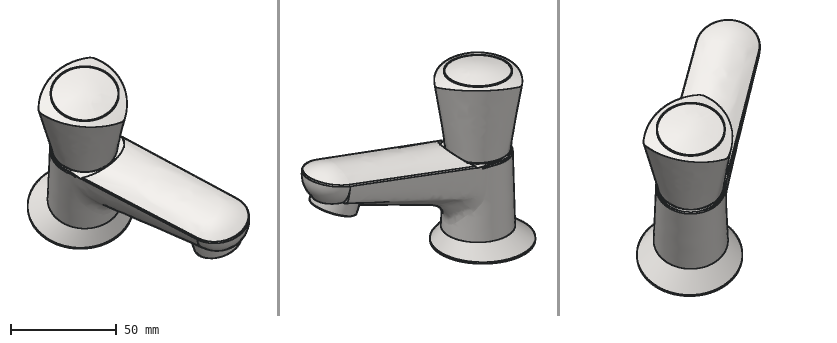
import cadquery as cq
import math


flange_radius = 25.0
flange_setback = 2.6
flange_rim = 1.0
flange_height = 8.3

body_bottom_radius = 17.7
body_top_radius = 16.6
body_top = 48.6
body_edge_round = 0.6

neck_radius = 14.5
handle_bottom = 49.8
handle_top = 93.1
handle_dome_radius = 62.6
grip_bottom_side = 15.6
grip_bottom_corner = 15.7
grip_bottom_corner_radius = 12.3
grip_top_side = 19.4
grip_top_corner = 24.3
grip_top_corner_radius = 3.7
button_radius = 16.26
groove_width = 0.4
groove_depth = 0.4

spout_slope = 7.2
spout_rim_start = 48.3
spout_length = 80.2
spout_root_half_width = 15.8
spout_end_half_width = 15.3
spout_root_depth = 28.2
spout_end_depth = 16.8
spout_root_fullness = 1.05
spout_end_fullness = 0.97
spout_crown = 4.2
rim_inset = 0.4
rim_height = 0.9
handle_clearance_radius = 18.8
spout_blend = 12.9

nozzle_radius = 11.8
nozzle_face_radius = 11.23
nozzle_tilt = 20
nozzle_x = 80.4
nozzle_bottom = 39.8
nozzle_length = 9.8


def make_flange():
    rim = cq.Workplane("XY").center(-flange_setback, 0).circle(flange_radius).extrude(flange_rim)
    skirt = (
        cq.Workplane("XY", origin=(0, 0, flange_rim))
        .center(-flange_setback, 0).circle(flange_radius)
        .workplane(offset=flange_height - flange_rim)
        .center(flange_setback, 0).circle(body_bottom_radius)
        .loft(ruled=True)
    )
    return rim.union(skirt)


def make_body():
    return (
        cq.Workplane("XY", origin=(0, 0, flange_height)).circle(body_bottom_radius)
        .workplane(offset=body_top - flange_height).circle(body_top_radius)
        .loft(ruled=True)
        .faces(">Z").edges().chamfer(body_edge_round)
    )


def polar(radius, degrees):
    angle = math.radians(degrees)
    return cq.Vector(radius * math.cos(angle), radius * math.sin(angle))


def rounded_triangle(height, side, corner, corner_radius):
    """Wire of three bulged sides and three round corners, all tangent.

    side and corner are the distances from the axis to mid-side and to a corner tip.
    """
    corner_center = corner - corner_radius
    side_radius = (
        (side**2 + corner_center**2 - side * corner_center - corner_radius**2)
        / (2 * side - 2 * corner_radius - corner_center)
    )

    def tangent_point(corner_angle, side_angle):
        center = polar(corner_center, corner_angle)
        side_center = polar(side - side_radius, side_angle)
        return center + (center - side_center).normalized() * corner_radius

    first = tangent_point(0, -60)
    outline = cq.Workplane("XY", origin=(0, 0, height)).moveTo(first.x, first.y)
    for angle in (0, 120, 240):
        tip = polar(corner, angle)
        corner_end = tangent_point(angle, angle + 60)
        middle = polar(side, angle + 60)
        side_end = tangent_point(angle + 120, angle + 60)
        outline = outline.threePointArc(tip.toTuple()[:2], corner_end.toTuple()[:2])
        outline = outline.threePointArc(middle.toTuple()[:2], side_end.toTuple()[:2])
    return outline.close().val()


def make_handle():
    neck = (
        cq.Workplane("XY", origin=(0, 0, body_top)).circle(neck_radius)
        .extrude(handle_bottom - body_top)
    )
    bottom = rounded_triangle(handle_bottom, grip_bottom_side, grip_bottom_corner, grip_bottom_corner_radius)
    top = rounded_triangle(handle_top, grip_top_side, grip_top_corner, grip_top_corner_radius)
    grip = cq.Workplane(cq.Solid.makeLoft([bottom, top], True))
    dome = cq.Workplane("XY", origin=(0, 0, handle_top - handle_dome_radius)).sphere(handle_dome_radius)
    groove_floor = (
        handle_top - handle_dome_radius - groove_depth
        + math.sqrt(handle_dome_radius**2 - button_radius**2)
    )
    groove = (
        cq.Workplane("XY", origin=(0, 0, groove_floor))
        .circle(button_radius).circle(button_radius - groove_width)
        .extrude(handle_top - groove_floor)
    )
    return neck.union(grip.intersect(dome).cut(groove))


def belly_point(half_width, depth, fullness):
    """Point of the underside half way round from the rim to the lowest point."""
    share = fullness * math.sqrt(0.5)
    return half_width * share, -rim_height - (depth - rim_height) * share


def spout_section(plane, half_width, depth, fullness):
    """Crowned top, a narrow sloping rim on each side and a rounded underside."""
    belly_x, belly_y = belly_point(half_width, depth, fullness)
    rim = half_width - rim_inset
    return (
        cq.Workplane(plane)
        .moveTo(half_width, -rim_height)
        .lineTo(rim, 0)
        .threePointArc((0, spout_crown), (-rim, 0))
        .lineTo(-half_width, -rim_height)
        .spline(
            [(-belly_x, belly_y), (0, -depth), (belly_x, belly_y), (half_width, -rim_height)],
            tangents=[(0, -1), (0, 1)], includeCurrent=True,
        )
        .close()
    )


def make_spout():
    slope = math.radians(spout_slope)
    along = cq.Vector(math.cos(slope), 0, math.sin(slope))
    root = cq.Vector(0, 0, spout_rim_start)
    root_plane = cq.Plane(root, xDir=(0, 1, 0), normal=along)
    end_plane = cq.Plane(root + along * spout_length, xDir=(0, 1, 0), normal=along)
    root_section = spout_section(root_plane, spout_root_half_width, spout_root_depth,
                                 spout_root_fullness)
    end_section = spout_section(end_plane, spout_end_half_width, spout_end_depth,
                                spout_end_fullness)
    arm = cq.Workplane(cq.Solid.makeLoft([root_section.val(), end_section.val()], True))

    crown_radius = ((spout_end_half_width - rim_inset) ** 2 + spout_crown**2) / (2 * spout_crown)
    half_rim = (spout_end_half_width - rim_inset) / 2
    crown_middle = spout_crown - crown_radius + math.sqrt(crown_radius**2 - half_rim**2)
    tip = (
        cq.Workplane(end_plane)
        .moveTo(0, spout_crown)
        .threePointArc((half_rim, crown_middle), (spout_end_half_width - rim_inset, 0))
        .lineTo(spout_end_half_width, -rim_height)
        .spline(
            [belly_point(spout_end_half_width, spout_end_depth, spout_end_fullness), (0, -spout_end_depth)],
            tangents=[(0, -1), (-1, 0)], includeCurrent=True,
        )
        .close()
        .revolve(360, (0, 0), (0, 1))
    )
    clearance = (
        cq.Workplane("XY", origin=(0, 0, body_top)).circle(handle_clearance_radius)
        .extrude(handle_top - body_top)
    )
    return arm.union(tip).cut(clearance)


def make_nozzle():
    tilt = math.radians(nozzle_tilt)
    face = cq.Plane(
        (nozzle_x, 0, nozzle_bottom), xDir=(0, 1, 0), normal=(-math.sin(tilt), 0, math.cos(tilt))
    )
    return (
        cq.Workplane(face).circle(nozzle_radius).extrude(nozzle_length)
        .faces("<Z").edges().chamfer(nozzle_radius - nozzle_face_radius)
    )


def make_blended_body():
    """Body and spout, with the seam under the spout rounded."""
    joined = make_body().union(make_spout())
    lowest_seam = spout_rim_start - spout_root_depth
    under_spout = cq.selectors.BoxSelector(
        (0, -body_bottom_radius, lowest_seam),
        (body_bottom_radius, body_bottom_radius, body_top - 2 * body_edge_round),
    )
    return joined.edges(under_spout).fillet(spout_blend)


result = (
    make_flange()
    .union(make_blended_body())
    .union(make_nozzle())
    .union(make_handle())
)